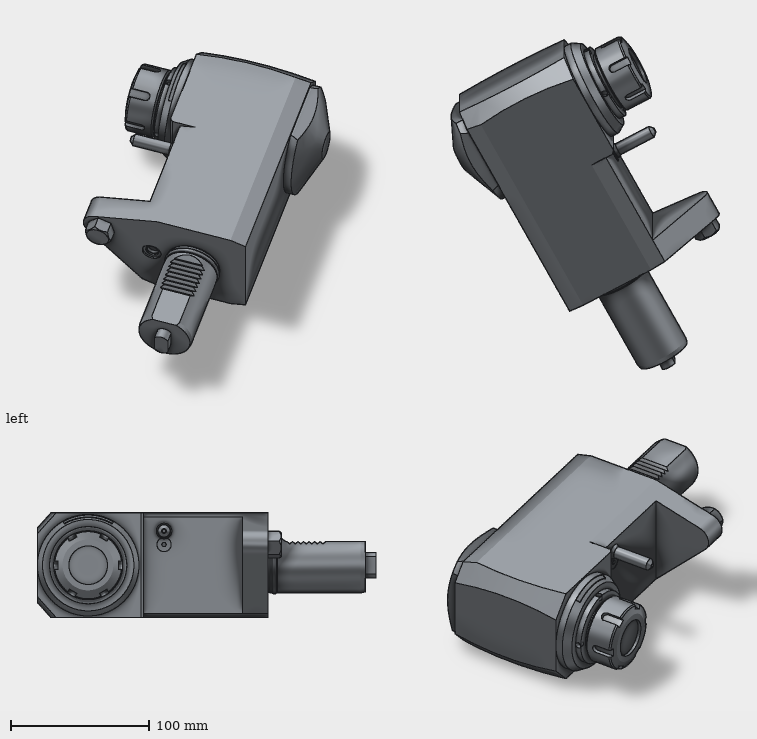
import cadquery as cq
import math


BODY_HALF_X = 39.2
HALF_Z = 38.0
TAPER_X = 11.3
TAPER_ANGLE = math.radians(15)
SPINDLE_Y = 130.0
BACK_Y = 166.8
HEAD_FACE_X = -47.0
HEAD_FRONT_Y = 90.0
HEAD_EDGE_CHAMFER = 2.0
CORNER_DEPTH_Y = 9.8
CORNER_ANGLE = math.radians(48)
CORNER_RADIUS = 328.3
CORNER_MARGIN = 24.5
BODY_FLAT_X = BODY_HALF_X - TAPER_X
SIDE_HALF_Z = HALF_Z - TAPER_X * math.tan(TAPER_ANGLE)

ARM_THICK = 18.4
ARM_TIP_X = -84.0
ARM_TIP_R = 10.5
ARM_TIP_CENTER_X = ARM_TIP_X + ARM_TIP_R
ARM_TIP_Z = (
    HALF_Z
    + (ARM_TIP_CENTER_X + BODY_FLAT_X) * math.tan(TAPER_ANGLE)
    - ARM_TIP_R / math.cos(TAPER_ANGLE)
)

BOLT_X = -70.0
BOLT_CORNER_R = 10.0
BOLT_HEIGHT = 9.8
BOLT_FACE_R = 8.3
BOLT_TURN = 15.0
BOLT_CONE_SLOPE = math.tan(math.radians(45))

PIN_Y = 75.2
PIN_Z = 24.7
PIN_R = 4.5
PIN_TIP_X = -71.8
PIN_CHAMFER = 2.7
PIN_TIP_BORE_R = 1.2
PIN_COLLAR_R = 5.6
PIN_COLLAR_FRONT_R = 4.7
PIN_COLLAR_LENGTH = 2.5
SET_SCREW_Z = 15.0
SET_SCREW_R = 5.1
SET_SCREW_RECESS = 0.2
SOCKET_ACROSS = 3.5
SOCKET_DEPTH = 2.5

PORT_X = -32.0
PORT_OUTER_R = 7.0
PORT_OUTER_DEPTH = 1.2
PORT_MIDDLE_R = 5.0
PORT_MIDDLE_DEPTH = 2.5
PORT_BORE_R = 4.2
PORT_BORE_DEPTH = 5.0

RING_R = 36.8
RING_CYL_X = -52.5
RING_FRONT_X = -58.3
RING_FRONT_R = 33.0
BAND_FRONT_X = -55.4
BAND_DEPTH = 0.5
BAND_ANGLE = 60
COLLAR_R = 28.0
COLLAR_FRONT_X = -62.7
COLLAR_HOLE_R = 2.2
COLLAR_HOLE_DEPTH = 3.7
COLLAR_HOLES = 4
NECK_R = 21.5
NUT_R = 25.0
NUT_BACK_X = -65.0
NUT_CHAMFER = 1.2
NUT_RIM_X = -84.8
NUT_BEVEL_X = -86.0
NUT_BEVEL_R = 24.3
NUT_FRONT_X = -87.7
NUT_FACE_R = 18.4
NUT_BORE_R = 14.0
NUT_BORE_DEPTH = 2.5
NUT_SLOTS = 6
NUT_SLOT_WIDTH = 6.1
NUT_SLOT_DEPTH = 3.2
NUT_SLOT_END_X = -71.0

CAP_R = 40.2
CAP_RIM_X = 45.0
CAP_END_X = 58.8
CAP_END_R = 10.0
CAP_BACK_FLAT = 31.0
CAP_SIDE_FLAT = 33.0
CAP_SIDE_SLOPE_X = 40.7
CAP_SIDE_SLOPE = math.tan(math.radians(15))

SHANK_R = 20.0
SHANK_END_Y = -70.3
SHANK_CHAMFER_R = 0.7
SHANK_CHAMFER_Y = 3.2
RELIEF_R = 19.0
LAND_START_Y = -1.2
LAND_R = 20.0
SEAL_GROOVE_R = 19.5
LAND_END_Y = -3.0
SEAL_END_Y = -6.1
SEAL_GROOVE_END_Y = -6.9
SEAL_R = 20.8
FLAT_Z = 17.2
FLAT_START_Y = -12.7
FLAT_RUN_IN_SLOPE = math.tan(math.radians(37))
TOOTH_COUNT = 7
TOOTH_SPAN = 24.0
TOOTH_PITCH = TOOTH_SPAN / (TOOTH_COUNT - 1)
TOOTH_DEPTH = 1.7
FIRST_TOOTH_Y = -15.7

TANG_HALF_X = 5.1
TANG_HALF_Z = 9.3
TANG_SIDE_Z = 6.4
TANG_LENGTH = 7.8


def revolve_x(points, y, z):
    """Turn (x, radius) points about the line parallel to X through (y, z)."""
    profile = cq.Workplane("XY").polyline(points).close()
    return profile.revolve(360, (0, 0, 0), (1, 0, 0)).translate((0, y, z))


def cylinder_along_y(x, z, radius, y_start, y_end):
    profile = cq.Workplane("XZ", origin=(0, y_start, 0)).center(x, z).circle(radius)
    return profile.extrude(y_start - y_end)


def make_corner_cutter(side):
    """Region outside the gently curved back corner; side is +1 (top) or -1 (bottom)."""
    n_y = math.sin(CORNER_ANGLE)
    n_z = side * math.cos(CORNER_ANGLE)
    half = (BODY_HALF_X - HEAD_FACE_X) / 2 + CORNER_MARGIN
    sag = CORNER_RADIUS - math.sqrt(CORNER_RADIUS**2 - half**2)
    plane = cq.Plane(
        origin=((BODY_HALF_X + HEAD_FACE_X) / 2, BACK_Y - CORNER_DEPTH_Y, side * HALF_Z),
        xDir=(1, 0, 0),
        normal=(0, -n_z, n_y),
    )
    profile = cq.Workplane(plane).moveTo(-half, -sag).threePointArc((0, 0), (half, -sag))
    profile = profile.lineTo(half, CORNER_MARGIN).lineTo(-half, CORNER_MARGIN).close()
    return profile.extrude(HALF_Z, both=True)


def make_arm():
    """Plate with a round tip: its top side continues the body slope, its low side is oblique."""
    rise = ARM_TIP_Z + SIDE_HALF_Z
    run = ARM_TIP_CENTER_X + BODY_HALF_X
    low_angle = math.atan2(-rise, -run) - math.acos(ARM_TIP_R / math.hypot(rise, run))
    top = (
        ARM_TIP_CENTER_X - ARM_TIP_R * math.sin(TAPER_ANGLE),
        ARM_TIP_Z + ARM_TIP_R * math.cos(TAPER_ANGLE),
    )
    low = (
        ARM_TIP_CENTER_X + ARM_TIP_R * math.cos(low_angle),
        ARM_TIP_Z + ARM_TIP_R * math.sin(low_angle),
    )
    profile = cq.Workplane("XZ").moveTo(0, SIDE_HALF_Z).lineTo(-BODY_HALF_X, SIDE_HALF_Z).lineTo(*top)
    profile = profile.threePointArc((ARM_TIP_X, ARM_TIP_Z), low)
    profile = profile.lineTo(-BODY_HALF_X, -SIDE_HALF_Z).lineTo(0, -SIDE_HALF_Z).close()
    return profile.extrude(-ARM_THICK)


def make_housing():
    section = [
        (-BODY_HALF_X, -SIDE_HALF_Z),
        (-BODY_FLAT_X, -HALF_Z),
        (BODY_FLAT_X, -HALF_Z),
        (BODY_HALF_X, -SIDE_HALF_Z),
        (BODY_HALF_X, SIDE_HALF_Z),
        (BODY_FLAT_X, HALF_Z),
        (-BODY_FLAT_X, HALF_Z),
        (-BODY_HALF_X, SIDE_HALF_Z),
    ]
    housing = cq.Workplane("XZ").polyline(section).close().extrude(-BACK_Y)
    housing = housing.union(make_arm()).clean()
    head = cq.Workplane("XY").box(
        -HEAD_FACE_X, BACK_Y - HEAD_FRONT_Y, 2 * HALF_Z, centered=(False, False, True)
    )
    head = head.translate((HEAD_FACE_X, HEAD_FRONT_Y, 0))
    head = head.edges("|Z and <X and <Y").chamfer(HEAD_EDGE_CHAMFER)
    housing = housing.union(head)
    for side in (1, -1):
        housing = housing.cut(make_corner_cutter(side))
    return housing


def make_bolt():
    """Hexagon head whose outer corners are trimmed by a cone."""
    head = cq.Workplane("XZ").polygon(6, 2 * BOLT_CORNER_R).extrude(BOLT_HEIGHT)
    head = head.rotate((0, 0, 0), (0, 1, 0), BOLT_TURN)
    base_r = BOLT_FACE_R + BOLT_HEIGHT / BOLT_CONE_SLOPE
    cone = cq.Workplane("XY").polyline(
        [(0, 0), (base_r, 0), (BOLT_FACE_R, -BOLT_HEIGHT), (0, -BOLT_HEIGHT)]
    ).close().revolve(360, (0, 0, 0), (0, 1, 0))
    return head.intersect(cone).translate((BOLT_X, 0, ARM_TIP_Z))


def make_pin():
    x_face = -BODY_HALF_X
    collar_x = x_face - PIN_COLLAR_LENGTH
    return revolve_x(
        [
            (0, 0),
            (0, PIN_COLLAR_R),
            (x_face, PIN_COLLAR_R),
            (collar_x, PIN_COLLAR_FRONT_R),
            (collar_x, PIN_R),
            (PIN_TIP_X + PIN_CHAMFER, PIN_R),
            (PIN_TIP_X, PIN_R - PIN_CHAMFER),
            (PIN_TIP_X, PIN_TIP_BORE_R),
            (PIN_TIP_X + PIN_CHAMFER, PIN_TIP_BORE_R),
            (PIN_TIP_X + PIN_CHAMFER, 0),
        ],
        PIN_Y,
        PIN_Z,
    )


def make_set_screw_recess():
    plane = cq.Plane(origin=(-BODY_HALF_X, PIN_Y, SET_SCREW_Z), xDir=(0, 1, 0), normal=(1, 0, 0))
    recess = cq.Workplane(plane).circle(SET_SCREW_R).extrude(SET_SCREW_RECESS)
    socket = cq.Workplane(plane).polygon(6, SOCKET_ACROSS).extrude(SOCKET_DEPTH)
    return recess.union(socket)


def make_port():
    """Bore with two stepped counterbores."""
    port = cylinder_along_y(PORT_X, 0, PORT_OUTER_R, PORT_OUTER_DEPTH, 0)
    port = port.union(cylinder_along_y(PORT_X, 0, PORT_MIDDLE_R, PORT_MIDDLE_DEPTH, 0))
    return port.union(cylinder_along_y(PORT_X, 0, PORT_BORE_R, PORT_BORE_DEPTH, 0))


def make_ring_band():
    """Shallow recess in the upper part of the ring cone, centered on the +Z side."""
    slope = (RING_R - RING_FRONT_R) / (RING_CYL_X - RING_FRONT_X)
    front_r = RING_R - slope * (RING_CYL_X - BAND_FRONT_X)
    profile = cq.Workplane("XZ").polyline(
        [
            (BAND_FRONT_X, front_r - BAND_DEPTH),
            (RING_CYL_X, RING_R - BAND_DEPTH),
            (RING_CYL_X, RING_R),
            (BAND_FRONT_X, RING_R),
        ]
    ).close()
    band = profile.revolve(BAND_ANGLE, (0, 0, 0), (1, 0, 0))
    band_middle = band.val().Center()
    turn = math.degrees(math.atan2(band_middle.y, band_middle.z))
    return band.rotate((0, 0, 0), (1, 0, 0), turn).translate((0, SPINDLE_Y, 0))


def make_spindle():
    """Ring, collar, neck and clamping nut turned about the spindle axis."""
    spindle = revolve_x(
        [
            (0, 0),
            (0, RING_R),
            (RING_CYL_X, RING_R),
            (RING_FRONT_X, RING_FRONT_R),
            (RING_FRONT_X, COLLAR_R),
            (COLLAR_FRONT_X, COLLAR_R),
            (COLLAR_FRONT_X, NECK_R),
            (NUT_BACK_X, NECK_R),
            (NUT_BACK_X, NUT_R - NUT_CHAMFER),
            (NUT_BACK_X - NUT_CHAMFER, NUT_R),
            (NUT_RIM_X, NUT_R),
            (NUT_BEVEL_X, NUT_BEVEL_R),
            (NUT_FRONT_X, NUT_FACE_R),
            (NUT_FRONT_X, NUT_BORE_R),
            (NUT_FRONT_X + NUT_BORE_DEPTH, NUT_BORE_R),
            (NUT_FRONT_X + NUT_BORE_DEPTH, 0),
        ],
        SPINDLE_Y,
        0,
    )
    axis_start = (0, SPINDLE_Y, 0)
    axis_end = (1, SPINDLE_Y, 0)

    slot_end = NUT_SLOT_END_X - NUT_SLOT_WIDTH / 2
    slot_floor = NUT_R - NUT_SLOT_DEPTH
    slot = cq.Workplane("XZ", origin=(0, SPINDLE_Y + slot_floor, 0))
    slot = slot.moveTo(NUT_FRONT_X, NUT_SLOT_WIDTH / 2).lineTo(slot_end, NUT_SLOT_WIDTH / 2)
    slot = slot.threePointArc((NUT_SLOT_END_X, 0), (slot_end, -NUT_SLOT_WIDTH / 2))
    slot = slot.lineTo(NUT_FRONT_X, -NUT_SLOT_WIDTH / 2).close().extrude(-2 * NUT_SLOT_DEPTH)
    for i in range(NUT_SLOTS):
        spindle = spindle.cut(slot.rotate(axis_start, axis_end, i * 360 / NUT_SLOTS))

    hole = cylinder_along_y(
        (RING_FRONT_X + COLLAR_FRONT_X) / 2,
        0,
        COLLAR_HOLE_R,
        SPINDLE_Y + COLLAR_R,
        SPINDLE_Y + COLLAR_R - COLLAR_HOLE_DEPTH,
    )
    for i in range(COLLAR_HOLES):
        spindle = spindle.cut(hole.rotate(axis_start, axis_end, i * 360 / COLLAR_HOLES))
    return spindle.cut(make_ring_band())


def make_cap():
    """Conical cap with a flat at the back and two side flats that slope outward of its base."""
    cap = revolve_x(
        [(0, 0), (0, CAP_R), (CAP_RIM_X, CAP_R), (CAP_END_X, CAP_END_R), (CAP_END_X, 0)],
        SPINDLE_Y,
        0,
    )
    end_z = CAP_SIDE_FLAT - (CAP_END_X - CAP_SIDE_SLOPE_X) * CAP_SIDE_SLOPE
    envelope = cq.Workplane("XZ", origin=(0, SPINDLE_Y + CAP_BACK_FLAT, 0)).polyline(
        [
            (0, -CAP_SIDE_FLAT),
            (CAP_SIDE_SLOPE_X, -CAP_SIDE_FLAT),
            (CAP_END_X, -end_z),
            (CAP_END_X, end_z),
            (CAP_SIDE_SLOPE_X, CAP_SIDE_FLAT),
            (0, CAP_SIDE_FLAT),
        ]
    ).close().extrude(CAP_BACK_FLAT + CAP_R)
    return cap.intersect(envelope)


def make_shank():
    seal_middle = (SEAL_R, (LAND_END_Y + SEAL_END_Y) / 2)
    profile = cq.Workplane("XY").moveTo(0, 0).lineTo(RELIEF_R, 0).lineTo(LAND_R, LAND_START_Y)
    profile = profile.lineTo(LAND_R, LAND_END_Y).lineTo(SEAL_GROOVE_R, LAND_END_Y)
    profile = profile.threePointArc(seal_middle, (SEAL_GROOVE_R, SEAL_END_Y))
    profile = profile.lineTo(SEAL_GROOVE_R, SEAL_GROOVE_END_Y).lineTo(SHANK_R, SEAL_GROOVE_END_Y)
    profile = profile.lineTo(SHANK_R, SHANK_END_Y + SHANK_CHAMFER_Y)
    profile = profile.lineTo(SHANK_R - SHANK_CHAMFER_R, SHANK_END_Y).lineTo(0, SHANK_END_Y).close()
    shank = profile.revolve(360, (0, 0, 0), (0, 1, 0))

    clear_z = 2 * SHANK_R - FLAT_Z
    flat = cq.Workplane("YZ").polyline(
        [
            (SHANK_END_Y, FLAT_Z),
            (FLAT_START_Y, FLAT_Z),
            (FLAT_START_Y + (clear_z - FLAT_Z) / FLAT_RUN_IN_SLOPE, clear_z),
            (SHANK_END_Y, clear_z),
        ]
    ).close().extrude(SHANK_R, both=True)
    shank = shank.cut(flat)

    groove_half = TOOTH_PITCH / 2
    for i in range(TOOTH_COUNT):
        y = FIRST_TOOTH_Y - i * TOOTH_PITCH
        groove = cq.Workplane("YZ").polyline(
            [(y - groove_half, FLAT_Z), (y, FLAT_Z - TOOTH_DEPTH), (y + groove_half, FLAT_Z)]
        ).close().extrude(SHANK_R, both=True)
        shank = shank.cut(groove)
    return shank


def make_tang():
    profile = cq.Workplane("XZ", origin=(0, SHANK_END_Y, 0)).moveTo(TANG_HALF_X, -TANG_SIDE_Z)
    profile = profile.lineTo(TANG_HALF_X, TANG_SIDE_Z)
    profile = profile.threePointArc((0, TANG_HALF_Z), (-TANG_HALF_X, TANG_SIDE_Z))
    profile = profile.lineTo(-TANG_HALF_X, -TANG_SIDE_Z)
    profile = profile.threePointArc((0, -TANG_HALF_Z), (TANG_HALF_X, -TANG_SIDE_Z)).close()
    return profile.extrude(TANG_LENGTH)


result = make_housing().cut(make_set_screw_recess()).cut(make_port())
for piece in (make_bolt(), make_pin(), make_spindle(), make_cap(), make_shank(), make_tang()):
    result = result.union(piece)